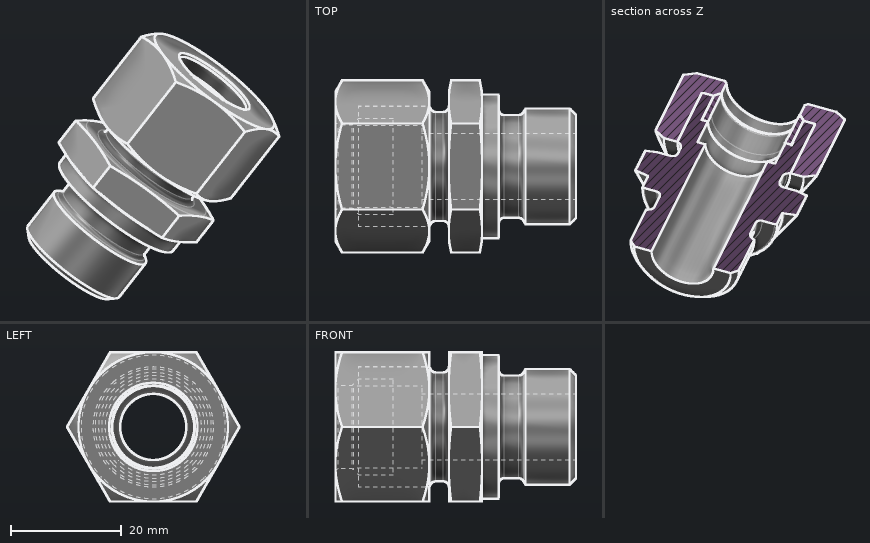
import cadquery as cq
import math

TOTAL_LENGTH = 43.5
ACROSS_FLATS = 27.0
ACROSS_CORNERS = ACROSS_FLATS / math.cos(math.radians(30))
FLAT_RADIUS = ACROSS_FLATS / 2
CORNER_RADIUS = ACROSS_CORNERS / 2

NUT_LENGTH = 16.95
NUT_CORNER_SLOPE = math.tan(math.radians(30))
NUT_CORNER_CHAMFER = (CORNER_RADIUS - FLAT_RADIUS) * NUT_CORNER_SLOPE
NUT_BORE_RADIUS = 7.53
NUT_BORE_CHAMFER = 0.5
NUT_BORE_END = 3.05

RING_START = 3.25
RING_END = 10.45
RING_OUTER_RADIUS = 8.7
SEAT_END = NUT_BORE_END + RING_OUTER_RADIUS - NUT_BORE_RADIUS
RING_BORE_RADIUS = 7.45
RING_ENTRY_LENGTH = 0.52
RING_ENTRY_RADIUS = 7.5
RING_TIP_LENGTH = 1.85
RING_TIP_RADIUS = 7.4

TUBE_THREAD_RADIUS = 10.88
TUBE_THREAD_END = NUT_LENGTH
NECK_RADIUS = 9.87
HEX_START = 20.5
HEX_END = 26.55
HEX_CORNER_CHAMFER = 0.45
HEX_REAR_RADIUS = 13.25
COLLAR_RADIUS = 13.0
COLLAR_END = 29.6
COLLAR_EDGE_LENGTH = 0.15
COLLAR_EDGE_DEPTH = 0.45
GROOVE_RADIUS = 9.3
STUD_THREAD_START = 34.35
STUD_THREAD_RADIUS = 10.5
STUD_CHAMFER = 1.17
TUBE_SEAT = 15.65
THROUGH_BORE_RADIUS = 5.95

RELIEF_FILLET = 1.0
GROOVE_SHOULDER_FILLET = 0.85
RELIEF_FLANK_ANGLE = math.radians(60)


def revolve_about_x(profile):
    """Turn a closed (X, radius) profile in the XZ plane about the X axis."""
    return profile.close().revolve(360, (0, 0, 0), (1, 0, 0))


def cylinder(radius, start, end):
    """Cylinder along X between two stations."""
    return cq.Workplane("YZ", origin=(start, 0, 0)).circle(radius).extrude(end - start)


def chamfered_hexagon(start, end, chamfer, front_radius, rear_radius):
    """Hexagonal prism whose corners are turned down to a circle on each end face."""
    prism = cq.Workplane("YZ", origin=(start, 0, 0)).polygon(6, ACROSS_CORNERS).extrude(end - start)
    envelope = revolve_about_x(
        cq.Workplane("XZ")
        .moveTo(start, 0)
        .lineTo(start, front_radius)
        .lineTo(start + chamfer, CORNER_RADIUS)
        .lineTo(end - chamfer, CORNER_RADIUS)
        .lineTo(end, rear_radius)
        .lineTo(end, 0)
    )
    return prism.intersect(envelope)


def relief_points(thread_end, thread_radius, root_radius, direction):
    """Flank end, fillet middle and root tangent point of a relief that leaves a thread along direction."""
    flank_drop = RELIEF_FILLET * (1 - math.cos(RELIEF_FLANK_ANGLE))
    flank_length = (thread_radius - root_radius - flank_drop) / math.tan(RELIEF_FLANK_ANGLE)
    fillet_length = RELIEF_FILLET * math.sin(RELIEF_FLANK_ANGLE)
    root_x = thread_end + direction * (flank_length + fillet_length)
    half_angle = RELIEF_FLANK_ANGLE / 2
    flank_point = (thread_end + direction * flank_length, root_radius + flank_drop)
    middle_point = (
        root_x - direction * RELIEF_FILLET * math.sin(half_angle),
        root_radius + RELIEF_FILLET * (1 - math.cos(half_angle)),
    )
    return flank_point, middle_point, (root_x, root_radius)


def shoulder_fillet_points(shoulder_x, root_radius, fillet, direction):
    """Root tangent point, middle and shoulder end of a quarter fillet; the root lies along direction."""
    middle = fillet * (1 - math.sqrt(0.5))
    return (
        (shoulder_x + direction * fillet, root_radius),
        (shoulder_x + direction * middle, root_radius + middle),
        (shoulder_x, root_radius + fillet),
    )


def make_nut():
    nut = chamfered_hexagon(0, NUT_LENGTH, NUT_CORNER_CHAMFER, FLAT_RADIUS, FLAT_RADIUS)
    bore = revolve_about_x(
        cq.Workplane("XZ")
        .lineTo(0, NUT_BORE_RADIUS + NUT_BORE_CHAMFER)
        .lineTo(NUT_BORE_CHAMFER, NUT_BORE_RADIUS)
        .lineTo(NUT_BORE_END, NUT_BORE_RADIUS)
        .lineTo(SEAT_END, RING_OUTER_RADIUS)
        .lineTo(SEAT_END, 0)
    )
    threaded_cavity = cylinder(TUBE_THREAD_RADIUS, SEAT_END, NUT_LENGTH)
    return nut.cut(bore).cut(threaded_cavity)


def make_cutting_ring():
    return revolve_about_x(
        cq.Workplane("XZ")
        .moveTo(RING_START, RING_ENTRY_RADIUS)
        .lineTo(RING_START + RING_ENTRY_LENGTH, RING_BORE_RADIUS)
        .lineTo(RING_END - RING_TIP_LENGTH, RING_BORE_RADIUS)
        .lineTo(RING_END, RING_TIP_RADIUS)
        .lineTo(RING_END, RING_OUTER_RADIUS)
        .lineTo(SEAT_END, RING_OUTER_RADIUS)
        .lineTo(RING_START, NUT_BORE_RADIUS + RING_START - NUT_BORE_END)
    )


def make_tube_end():
    """Tube thread and neck, up to the front face of the hexagon."""
    flank, relief_middle, relief_root = relief_points(TUBE_THREAD_END, TUBE_THREAD_RADIUS, NECK_RADIUS, 1)
    fillet_root, fillet_middle, fillet_end = shoulder_fillet_points(HEX_START, NECK_RADIUS, RELIEF_FILLET, -1)
    return revolve_about_x(
        cq.Workplane("XZ")
        .moveTo(SEAT_END, 0)
        .lineTo(SEAT_END, TUBE_THREAD_RADIUS)
        .lineTo(TUBE_THREAD_END, TUBE_THREAD_RADIUS)
        .lineTo(*flank)
        .threePointArc(relief_middle, relief_root)
        .lineTo(*fillet_root)
        .threePointArc(fillet_middle, fillet_end)
        .lineTo(HEX_START, 0)
    )


def make_stud_end():
    """Sealing collar, groove and stud thread, from the rear face of the hexagon."""
    fillet_root, fillet_middle, fillet_end = shoulder_fillet_points(
        COLLAR_END, GROOVE_RADIUS, GROOVE_SHOULDER_FILLET, 1
    )
    flank, relief_middle, relief_root = relief_points(
        STUD_THREAD_START, STUD_THREAD_RADIUS, GROOVE_RADIUS, -1
    )
    return revolve_about_x(
        cq.Workplane("XZ")
        .moveTo(HEX_END, 0)
        .lineTo(HEX_END, COLLAR_RADIUS)
        .lineTo(COLLAR_END - COLLAR_EDGE_LENGTH, COLLAR_RADIUS)
        .lineTo(COLLAR_END, COLLAR_RADIUS - COLLAR_EDGE_DEPTH)
        .lineTo(*fillet_end)
        .threePointArc(fillet_middle, fillet_root)
        .lineTo(*relief_root)
        .threePointArc(relief_middle, flank)
        .lineTo(STUD_THREAD_START, STUD_THREAD_RADIUS)
        .lineTo(TOTAL_LENGTH - STUD_CHAMFER, STUD_THREAD_RADIUS)
        .lineTo(TOTAL_LENGTH, STUD_THREAD_RADIUS - STUD_CHAMFER)
        .lineTo(TOTAL_LENGTH, 0)
    )


def make_body():
    hexagon = chamfered_hexagon(HEX_START, HEX_END, HEX_CORNER_CHAMFER, FLAT_RADIUS, HEX_REAR_RADIUS)
    body = make_tube_end().union(hexagon).union(make_stud_end())
    ring_recess = cylinder(RING_OUTER_RADIUS, SEAT_END, RING_END)
    tube_socket = cylinder(RING_BORE_RADIUS, RING_END, TUBE_SEAT)
    through_bore = cylinder(THROUGH_BORE_RADIUS, TUBE_SEAT, TOTAL_LENGTH)
    return body.cut(ring_recess).cut(tube_socket).cut(through_bore)


nut = make_nut()
cutting_ring = make_cutting_ring()
body = make_body()

result = cq.Compound.makeCompound([nut.solids().val(), cutting_ring.val(), body.solids().val()])